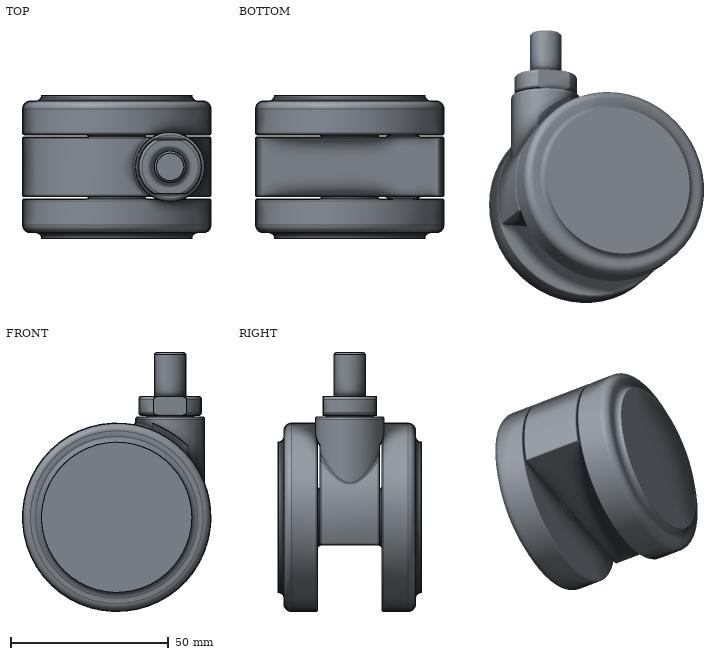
import cadquery as cq


overall_height = 82.5

wheel_diameter = 60.0
wheel_radius = wheel_diameter / 2
wheel_inner_y = 10.2
wheel_shoulder_y = 20.95
overall_width = 45.6
wheel_outer_y = overall_width / 2
wheel_outer_round = 2.5
wheel_inner_round = 0.6
cap_radius = 23.9
cap_cove = wheel_outer_y - wheel_shoulder_y
hub_radius = 9.0

housing_radius = wheel_radius
housing_half_width = 9.5
housing_bottom_z = -8.8
housing_edge_round = 0.5
post_x = 17.0
post_radius = 11.0
post_top_z = 32.0
post_top_round = 0.8
post_foot_round = 0.75
wheel_clearance_radius = 32.0

hub_cove = wheel_inner_y - housing_half_width

neck_radius = 7.6
collar_bottom_z = 32.4
collar_top_z = 38.5
collar_radius = 10.0
collar_across_flats = 17.0
collar_round = 1.0
rod_radius = 5.0
rod_top_z = overall_height - wheel_radius
rod_chamfer = 0.7


def y_cylinder(radius, start_y, end_y):
    """Cylinder about the wheel axis between two Y positions."""
    return cq.Workplane("XZ", origin=(0, start_y, 0)).circle(radius).extrude(start_y - end_y)


def z_cylinder(radius, bottom_z, top_z):
    """Cylinder about the stem axis between two heights."""
    return cq.Workplane("XY", origin=(post_x, 0, bottom_z)).circle(radius).extrude(top_z - bottom_z)


def make_wheel(side):
    """Wheel with hub and raised cap; side is +1 or -1 along Y."""
    outline = (
        cq.Workplane("XY")
        .moveTo(0, housing_half_width)
        .lineTo(hub_radius, housing_half_width)
        .radiusArc((hub_radius + hub_cove, wheel_inner_y), hub_cove)
        .lineTo(wheel_radius - wheel_inner_round, wheel_inner_y)
        .radiusArc((wheel_radius, wheel_inner_y + wheel_inner_round), -wheel_inner_round)
        .lineTo(wheel_radius, wheel_shoulder_y - wheel_outer_round)
        .radiusArc((wheel_radius - wheel_outer_round, wheel_shoulder_y), -wheel_outer_round)
        .lineTo(cap_radius + cap_cove, wheel_shoulder_y)
        .radiusArc((cap_radius, wheel_outer_y), cap_cove)
        .lineTo(0, wheel_outer_y)
        .close()
    )
    wheel = outline.revolve(360, (0, 0, 0), (0, 1, 0))
    return wheel if side > 0 else wheel.mirror("XZ")


def make_drum():
    """Drum between the wheels, flat underneath."""
    drum = y_cylinder(housing_radius, -housing_half_width, housing_half_width)
    keep = cq.Workplane("XY", origin=(0, 0, housing_bottom_z)).box(
        2 * housing_radius, 2 * housing_half_width, housing_radius - housing_bottom_z,
        centered=(True, True, False))
    return drum.intersect(keep)


def make_post():
    """Stem post, cut away beside the drum so that the wheels run clear."""
    post = z_cylinder(post_radius, 0, post_top_z).faces(">Z").edges().fillet(post_top_round)
    for side in (-1, 1):
        post = post.cut(y_cylinder(
            wheel_clearance_radius, side * housing_half_width, side * wheel_outer_y))
    return post


def make_housing():
    """Drum and post in one, rounded where they meet and along the drum's rims."""
    housing = make_drum().union(make_post())
    foot_zone = cq.selectors.BoxSelector(
        (0, -housing_half_width, 0), (wheel_radius, housing_half_width, wheel_radius))
    housing = housing.edges("%BSPLINE").edges(foot_zone).fillet(post_foot_round)
    rims = housing.edges("%CIRCLE").edges(cq.selectors.RadiusNthSelector(-2))
    underside_edges = housing.faces("<Z").edges()
    return rims.add(underside_edges).fillet(housing_edge_round)


def make_stem():
    """Plain rod with a two-flat collar and a short neck below it."""
    collar = z_cylinder(collar_radius, collar_bottom_z, collar_top_z).edges().fillet(collar_round)
    flats = cq.Workplane("XY", origin=(post_x, 0, collar_bottom_z)).box(
        2 * collar_radius, collar_across_flats, collar_top_z - collar_bottom_z, centered=(True, True, False))
    neck = z_cylinder(neck_radius, post_top_z, collar_bottom_z)
    rod = z_cylinder(rod_radius, collar_top_z, rod_top_z).faces(">Z").chamfer(rod_chamfer)
    return collar.intersect(flats).union(neck).union(rod)


wheels = [make_wheel(side) for side in (-1, 1)]
housing = make_housing()
stem = make_stem()

result = cq.Compound.makeCompound([*[wheel.val() for wheel in wheels], housing.val(), stem.val()])